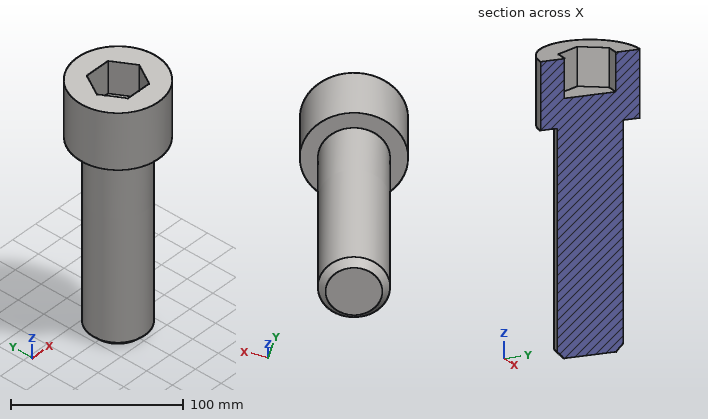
import cadquery as cq
import math

total_length = 182.0
nominal_diameter = 42.0
head_diameter = 63.0
head_height = nominal_diameter
shank_length = total_length - head_height
plain_length = 43.9
thread_length = shank_length - plain_length
tip_chamfer = 4.5
hex_across_flats = 32.0
socket_depth = 24.0


def make_head():
    hex_across_corners = hex_across_flats / math.cos(math.pi / 6)
    return (
        cq.Workplane("XY")
        .circle(head_diameter / 2)
        .extrude(head_height)
        .faces(">Z")
        .workplane()
        .polygon(6, hex_across_corners)
        .cutBlind(-socket_depth)
    )


def make_plain_shank():
    return cq.Workplane("XY").circle(nominal_diameter / 2).extrude(-plain_length)


def make_threaded_end():
    return (
        cq.Workplane("XY")
        .workplane(offset=-plain_length)
        .circle(nominal_diameter / 2)
        .extrude(-thread_length)
        .faces("<Z")
        .chamfer(tip_chamfer)
    )


result = (
    make_head()
    .union(make_plain_shank(), clean=False)
    .union(make_threaded_end(), clean=False)
)